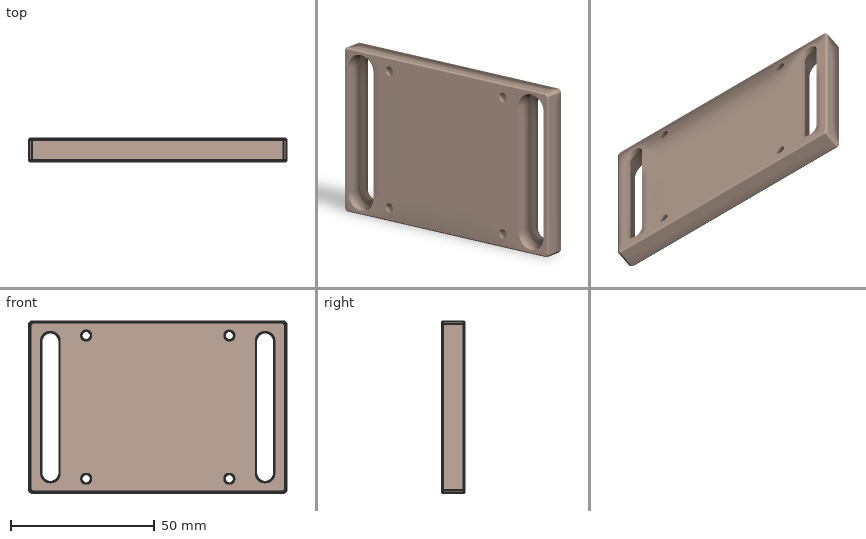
import cadquery as cq

LENGTH = 90.0
THICKNESS = 8.0
HEIGHT = 60.0
CORNER_CHAMFER = 1.0
FACE_CHAMFER = 0.5

HOLE_DIAMETER = 3.3
HOLE_SPACING = 50.0

SLOT_SPACING = 75.0
SLOT_TRAVEL = 46.0
SLOT_WIDTH = 6.3
HEAD_SLOT_WIDTH = 11.0
HEAD_SLOT_DEPTH = 6.1


def make_plate():
    """Upright plate with chamfered corners and chamfered face outlines."""
    plate = cq.Workplane("XY").box(LENGTH, THICKNESS, HEIGHT)
    plate = plate.edges("|Y").chamfer(CORNER_CHAMFER)
    return plate.faces("<Y or >Y").edges().chamfer(FACE_CHAMFER)


def make_screw_holes():
    """Cutters for the four through holes."""
    return (
        cq.Workplane("XZ")
        .rarray(HOLE_SPACING, HOLE_SPACING, 2, 2)
        .circle(HOLE_DIAMETER / 2)
        .extrude(THICKNESS, both=True)
    )


def make_slots(width, depth):
    """Cutters for a pair of slots, long along Z, sunk from the back face (+Y)."""
    return (
        cq.Workplane("XZ", origin=(0, THICKNESS / 2, 0))
        .rarray(SLOT_SPACING, 1, 2, 1)
        .slot2D(SLOT_TRAVEL + width, width, 90)
        .extrude(depth)
    )


result = (
    make_plate()
    .cut(make_screw_holes())
    .cut(make_slots(SLOT_WIDTH, THICKNESS))
    .cut(make_slots(HEAD_SLOT_WIDTH, HEAD_SLOT_DEPTH))
)